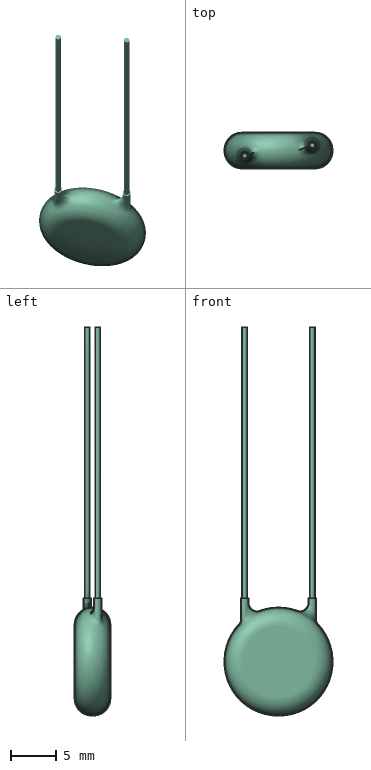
import cadquery as cq
import math

total_height = 43.0
disc_diameter = 12.0
disc_thickness = 4.0
lead_pitch = 7.5
lead_stagger = 1.15
lead_diameter = 0.6
sleeve_diameter = 0.85
sleeve_rise = 1.05
sleeve_fillet = 1.0

disc_radius = disc_diameter / 2
rim_radius = disc_thickness / 2
flat_radius = disc_radius - rim_radius
disc_center_z = disc_radius
sleeve_top_z = disc_diameter + sleeve_rise


def make_disc():
    """Coated disc with a fully rounded rim, each rim half its own quarter-round face."""
    rim_offset = rim_radius * math.sqrt(0.5)
    return (
        cq.Workplane("YZ")
        .moveTo(-rim_radius, 0)
        .lineTo(-rim_radius, -flat_radius)
        .threePointArc((-rim_offset, -flat_radius - rim_offset), (0, -disc_radius))
        .threePointArc((rim_offset, -flat_radius - rim_offset), (rim_radius, -flat_radius))
        .lineTo(rim_radius, 0)
        .close()
        .revolve(360, (0, 0, 0), (1, 0, 0))
        .translate((0, 0, disc_center_z))
    )


def make_rod(x, y, diameter, top_z):
    """Vertical rod starting inside the disc at its center height."""
    return (
        cq.Workplane("XY", origin=(x, y, disc_center_z))
        .circle(diameter / 2)
        .extrude(top_z - disc_center_z)
    )


def is_sleeve_root(edge):
    """True for the curve where a sleeve leaves the rounded rim."""
    box = edge.BoundingBox()
    near_sleeve = max(box.xlen, box.ylen) < 2 * sleeve_diameter
    return near_sleeve and box.zmax < sleeve_top_z - sleeve_rise / 2 and box.zmin > disc_center_z


lead_places = [(side * lead_pitch / 2, side * lead_stagger / 2) for side in (-1, 1)]

body = make_disc()
for x, y in lead_places:
    body = body.union(make_rod(x, y, sleeve_diameter, sleeve_top_z))

root_edges = [edge for edge in body.edges().vals() if is_sleeve_root(edge)]
body = body.newObject(root_edges).fillet(sleeve_fillet)

for x, y in lead_places:
    body = body.union(make_rod(x, y, lead_diameter, total_height))

result = body